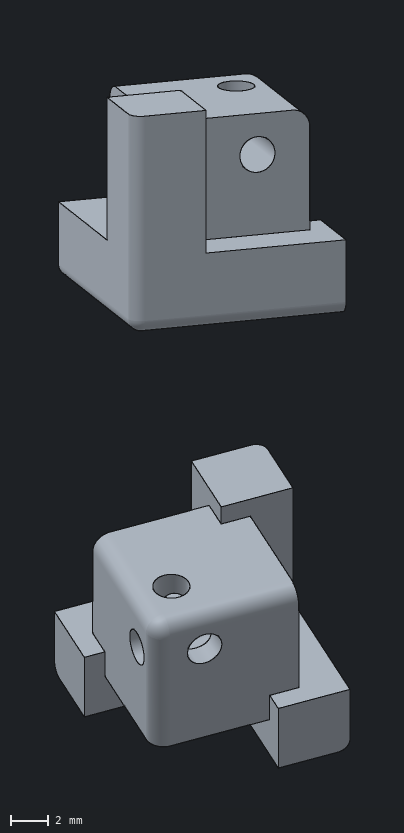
import cadquery as cq

leg_length = 12.2
leg_width = 4.2
corner_fillet = 0.7

cube_start = 2.5
cube_end = 11.0
cube_size = cube_end - cube_start
cube_fillet = 1.0

hole_diameter = 2.0
hole_far_offset = 8.7
hole_near_offset = 8.0

pin_diameter = 1.0
pin_offset = 6.5
pin_depth = 2.0


def corner_box(start, x_size, y_size, z_size):
    """Box toward -X, +Y, +Z that begins `start` away from the corner along each axis."""
    box = cq.Workplane("XY").box(x_size, y_size, z_size, centered=False)
    return box.translate((-start - x_size, start, start))


def bore(origin, direction, diameter, length):
    """Cylinder that starts at `origin` and runs along `direction`."""
    cylinder = cq.Solid.makeCylinder(
        diameter / 2, length, cq.Vector(*origin), cq.Vector(*direction)
    )
    return cq.Workplane(obj=cylinder)


def make_legs():
    """Three legs, with the three outer edges at their shared corner rounded."""
    legs = corner_box(0, leg_length, leg_width, leg_width)
    legs = legs.union(corner_box(0, leg_width, leg_length, leg_width))
    legs = legs.union(corner_box(0, leg_width, leg_width, leg_length))
    edges = legs.edges("(|X and <Y and <Z) or (|Y and >X and <Z) or (|Z and >X and <Y)")
    return edges.fillet(corner_fillet)


def make_cube():
    """Cube with the three edges at its vertex farthest from the corner rounded."""
    cube = corner_box(cube_start, cube_size, cube_size, cube_size)
    edges = cube.edges("(|X and >Y and >Z) or (|Y and <X and >Z) or (|Z and <X and >Y)")
    return edges.fillet(cube_fillet)


def cut_through_holes(body):
    """One hole along each axis, clear of the legs and through the whole cube."""
    hole_axes = [
        ((-leg_length, hole_near_offset, hole_far_offset), (1, 0, 0)),
        ((-hole_far_offset, 0, hole_near_offset), (0, 1, 0)),
        ((-hole_near_offset, hole_far_offset, 0), (0, 0, 1)),
    ]
    for origin, direction in hole_axes:
        body = body.cut(bore(origin, direction, hole_diameter, leg_length))
    return body


def cut_pin_hole(body):
    """Blind hole into the cube face that looks toward -Y."""
    origin = (-pin_offset, cube_start, hole_near_offset)
    return body.cut(bore(origin, (0, 1, 0), pin_diameter, pin_depth))


bracket = make_legs().union(make_cube())
result = cut_pin_hole(cut_through_holes(bracket))